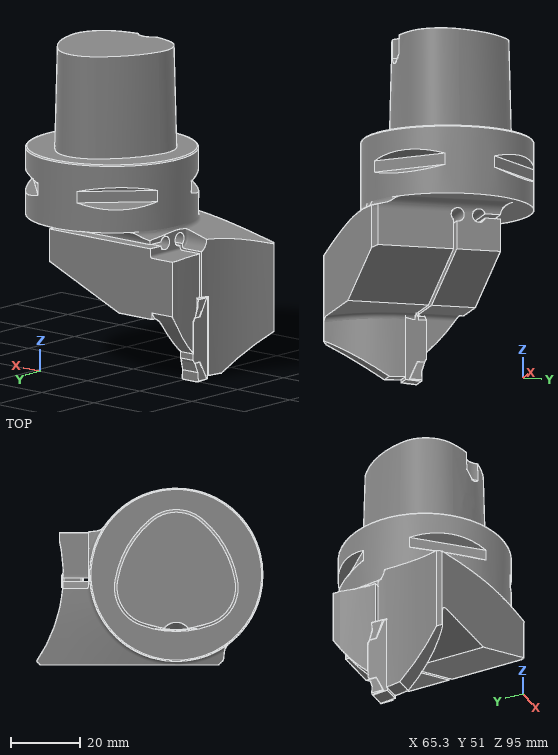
import cadquery as cq
import math


OVERALL_HEIGHT = 95.0

SHANK_TOP = 30.0
LOBE_HEIGHT = 1.2
SHANK_BASE_RADIUS = 17.6
SHANK_TOP_RADIUS = 16.8
ARC_COUNT = 6
KEY_RADIUS = 4.3
KEY_Y = -18.0
KEY_DEPTH = 5.7
KEY_POINT_ANGLE = 90

FLANGE_RADIUS = 25.0
FLANGE_BOTTOM = -20.0
FLANGE_CHAMFER = 0.4
GRIP_COUNT = 4
GRIP_Z = -10.0
GRIP_FLOOR_DISTANCE = 22.1
GRIP_FLOOR_HEIGHT = 3.3
GRIP_WALL_ANGLE = 30

HEAD_RIGHT = 13.4
HEAD_BACK = 12.2
HEAD_FRONT = -26.0
HEAD_LEFT = -40.3
HEAD_FLOOR = -45.4
RIGHT_CHAMFER = 1.5
LEFT_CHAMFER = 1.1
NECK_FILLET = 3.3
CONE_ANGLE = 15
CONE_DROP = 1.2
SLOPE_START_X = -13.3
SLOPE_END_Z = -34.1

BLADE_OUTER_RADIUS = 43.7
BLADE_OUTER_X = -32.6
BLADE_INNER_RADIUS = 30.4
BLADE_INNER_X = -27.5
BLADE_INNER_Y = -2.5
BLADE_FLAT_Y = 9.9
BLADE_BOTTOM = -63.8
BLADE_FILLET = 1.5
NOSE_SLOPE_TOP = -52.3
NOSE_SLOPE_Y = -9.4
JAW_SLOPE_TOP = -43.4
JAW_TIP_Z = -56.4
JAW_BULGE = 0.95

LEDGE_Z = -27.3
LEDGE_WALL_X = -25.3
LEDGE_SIDE_Y = -4.0
LEDGE_SIDE_FILLET = 4.0
LEDGE_WALL_FILLET = 0.8
HINGE_HOLE_DIAMETER = 3.9
HINGE_Z = -23.9
BACK_HOLE_Y = 5.7
FRONT_HOLE_Y = -0.7
BACK_SLIT_WIDTH = 1.2
FRONT_SLIT_WIDTH = 0.95
FRONT_SLIT_Y = -1.4

INSERT_BOTTOM = SHANK_TOP - OVERALL_HEIGHT
INSERT_TOP = -40.2
INSERT_MID_Z = (INSERT_BOTTOM + INSERT_TOP) / 2
INSERT_FLOOR_Y = -4.75
INSERT_BACK_Y = 1.5
INSERT_CENTRE_X = -29.9
INSERT_BODY_WIDTH = 2 * (BLADE_INNER_X - INSERT_CENTRE_X)
EDGE_WIDTH = 6.3
EDGE_RELIEF = 0.5
EDGE_CHAMFER = 0.4
EDGE_CLEARANCE = 0.3
TIP_LENGTH = 5.7
RAKE_LENGTH = 2.85
TIP_BACK_Y = 0.95
TIP_FOOT_Y = -3.7
TIP_ROOT_Y = -1.2

FAR = 76.0
NEAR = 0.1


def box_between(low, high):
    size = [b - a for a, b in zip(low, high)]
    return cq.Workplane("XY").box(*size, centered=False).translate(low)


def lobed_wire(z, radius):
    """Closed outline of arcs: three lobes, one of them toward +Y, and three flatter sides."""

    def point(degrees):
        t = math.radians(degrees)
        return cq.Vector(
            radius * math.sin(t) - LOBE_HEIGHT * math.sin(2 * t),
            radius * math.cos(t) + LOBE_HEIGHT * math.cos(2 * t),
            z,
        )

    step = 360 / ARC_COUNT
    arcs = [
        cq.Edge.makeThreePointArc(point(step * (i - 0.5)), point(step * i), point(step * (i + 0.5)))
        for i in range(ARC_COUNT)
    ]
    return cq.Wire.assembleEdges(arcs)


def make_shank():
    lower = lobed_wire(0, SHANK_BASE_RADIUS)
    upper = lobed_wire(SHANK_TOP, SHANK_TOP_RADIUS)
    shank = cq.Workplane(cq.Solid.makeLoft([lower, upper], True))
    point_depth = KEY_RADIUS / math.tan(math.radians(KEY_POINT_ANGLE / 2))
    key = (
        cq.Workplane("XZ")
        .moveTo(0, SHANK_TOP)
        .lineTo(KEY_RADIUS, SHANK_TOP)
        .lineTo(KEY_RADIUS, SHANK_TOP - KEY_DEPTH)
        .lineTo(0, SHANK_TOP - KEY_DEPTH - point_depth)
        .close()
        .revolve(360, (0, 0, 0), (0, 1, 0))
        .translate((0, KEY_Y, 0))
    )
    return shank.cut(key)


def make_flange():
    flange = (
        cq.Workplane("XY")
        .workplane(offset=FLANGE_BOTTOM)
        .circle(FLANGE_RADIUS)
        .extrude(-FLANGE_BOTTOM)
        .faces(">Z")
        .chamfer(FLANGE_CHAMFER)
    )
    depth = FLANGE_RADIUS - GRIP_FLOOR_DISTANCE
    floor_half = GRIP_FLOOR_HEIGHT / 2
    mouth_half = floor_half + depth * math.tan(math.radians(GRIP_WALL_ANGLE))
    groove = (
        cq.Workplane("XZ")
        .polyline([
            (GRIP_FLOOR_DISTANCE, GRIP_Z - floor_half),
            (FLANGE_RADIUS, GRIP_Z - mouth_half),
            (FLANGE_RADIUS, GRIP_Z + mouth_half),
            (GRIP_FLOOR_DISTANCE, GRIP_Z + floor_half),
        ])
        .close()
        .extrude(FLANGE_RADIUS, both=True)
    )
    for i in range(GRIP_COUNT):
        angle = (i + 0.5) * 360 / GRIP_COUNT
        flange = flange.cut(groove.rotate((0, 0, 0), (0, 0, 1), angle))
    return flange


def outer_x(y):
    """X of the blade's concave side at a given Y."""
    return BLADE_OUTER_X - BLADE_OUTER_RADIUS + math.sqrt(BLADE_OUTER_RADIUS**2 - y**2)


def inner_x(y):
    """X of the blade's convex side at a given Y."""
    across = math.sqrt(BLADE_INNER_RADIUS**2 - (y - BLADE_INNER_Y) ** 2)
    return BLADE_INNER_X - BLADE_INNER_RADIUS + across


def left_side(start):
    """Draws the left side of the head from its back corner to its front face."""
    flat_x = outer_x(BLADE_FLAT_Y)
    corner_y = HEAD_FRONT + LEFT_CHAMFER
    return (
        start.lineTo(flat_x, HEAD_BACK)
        .lineTo(flat_x, BLADE_FLAT_Y)
        .threePointArc((BLADE_OUTER_X, 0), (HEAD_LEFT, corner_y))
        .lineTo(HEAD_LEFT + LEFT_CHAMFER, HEAD_FRONT)
    )


def make_flared_body():
    """Right part of the head, with a fillet up to the flange along its right and back sides."""
    left = BLADE_INNER_X
    overrun_y = HEAD_FRONT - NECK_FILLET
    body = (
        cq.Workplane("XY")
        .workplane(offset=HEAD_FLOOR)
        .polyline([
            (left, HEAD_BACK),
            (HEAD_RIGHT, HEAD_BACK),
            (HEAD_RIGHT, HEAD_FRONT + RIGHT_CHAMFER),
            (HEAD_RIGHT - RIGHT_CHAMFER - NECK_FILLET, overrun_y),
            (left, overrun_y),
        ])
        .close()
        .extrude(FLANGE_BOTTOM - HEAD_FLOOR)
    )
    slab = box_between((left, overrun_y, FLANGE_BOTTOM), (FAR, FAR, 0))
    neck_edges = cq.selectors.BoxSelector(
        (left, overrun_y + NEAR, FLANGE_BOTTOM - NEAR),
        (HEAD_RIGHT + NEAR, HEAD_BACK + NEAR, FLANGE_BOTTOM + NEAR),
    )
    flared = body.union(slab).edges(neck_edges).fillet(NECK_FILLET)
    return flared.cut(box_between((-FAR, -FAR, -FAR), (FAR, HEAD_FRONT, FAR)))


def make_left_body():
    """Left part of the head above its floor, joined to the right part along X = 0."""
    outline = cq.Workplane("XY").workplane(offset=HEAD_FLOOR).moveTo(0, HEAD_BACK)
    return left_side(outline).lineTo(0, HEAD_FRONT).close().extrude(FLANGE_BOTTOM - HEAD_FLOOR)


def make_head_envelope():
    """Round space under the flange, bounded above by a fillet ring and a cone."""
    slope = math.radians(CONE_ANGLE)
    half_turn = (math.pi / 2 - slope) / 2
    ring_radius = CONE_DROP / math.tan(half_turn)
    ring_centre_r = FLANGE_RADIUS + ring_radius

    def ring_point(turn):
        return (
            ring_centre_r - ring_radius * math.cos(turn),
            FLANGE_BOTTOM - ring_radius * math.sin(turn),
        )

    rim_z = FLANGE_BOTTOM - CONE_DROP - (FAR - FLANGE_RADIUS) * math.tan(slope)
    return (
        cq.Workplane("XZ")
        .moveTo(0, FLANGE_BOTTOM)
        .lineTo(FLANGE_RADIUS, FLANGE_BOTTOM)
        .threePointArc(ring_point(half_turn), ring_point(2 * half_turn))
        .lineTo(FAR, rim_z)
        .lineTo(FAR, -2 * FAR)
        .lineTo(0, -2 * FAR)
        .close()
        .revolve(360, (0, 0, 0), (0, 1, 0))
    )


def make_blade():
    """Curved strip below the head's floor, thinning to a chamfered edge at the front."""
    middle_y = (HEAD_FRONT + BLADE_INNER_Y) / 2
    return (
        left_side(cq.Workplane("XY").workplane(offset=BLADE_BOTTOM).moveTo(BLADE_INNER_X, HEAD_BACK))
        .lineTo(inner_x(HEAD_FRONT), HEAD_FRONT)
        .threePointArc((inner_x(middle_y), middle_y), (BLADE_INNER_X, BLADE_INNER_Y))
        .close()
        .extrude(HEAD_FLOOR - BLADE_BOTTOM)
    )


def make_head():
    """Head with its blade, before the clamp and the insert seat are cut."""
    head = make_flared_body().union(make_left_body()).union(make_blade())
    root_edges = cq.selectors.BoxSelector(
        (HEAD_LEFT + LEFT_CHAMFER, HEAD_FRONT + NEAR, HEAD_FLOOR - NEAR),
        (BLADE_INNER_X + NEAR, HEAD_BACK - NEAR, HEAD_FLOOR + NEAR),
    )
    head = head.edges(root_edges).fillet(BLADE_FILLET)
    return head.intersect(make_head_envelope())


def cut_undersides(head):
    """Sloped undersides of the head, of the blade's nose and of the clamping jaw."""
    head_slope = (
        cq.Workplane("XZ")
        .polyline([(SLOPE_START_X, HEAD_FLOOR), (HEAD_RIGHT, SLOPE_END_Z), (HEAD_RIGHT, HEAD_FLOOR)])
        .close()
        .extrude(FAR, both=True)
    )
    nose_slope = (
        cq.Workplane("YZ")
        .polyline([(HEAD_FRONT, NOSE_SLOPE_TOP), (NOSE_SLOPE_Y, BLADE_BOTTOM), (HEAD_FRONT, BLADE_BOTTOM)])
        .close()
        .extrude(-FAR)
    )
    jaw_middle = (
        (HEAD_BACK + INSERT_BACK_Y) / 2,
        (JAW_SLOPE_TOP + JAW_TIP_Z) / 2 - JAW_BULGE,
    )
    jaw_slope = (
        cq.Workplane("YZ")
        .workplane(offset=BLADE_INNER_X + BLADE_FILLET)
        .moveTo(HEAD_BACK, JAW_SLOPE_TOP)
        .threePointArc(jaw_middle, (INSERT_BACK_Y, JAW_TIP_Z))
        .lineTo(INSERT_FLOOR_Y, BLADE_BOTTOM)
        .lineTo(HEAD_BACK, BLADE_BOTTOM)
        .close()
        .extrude(-FAR)
    )
    return head.cut(head_slope).cut(nose_slope).cut(jaw_slope)


def cut_clamp(head):
    """Ledge beside the flange, and the hinge that lets the jaw close on the insert."""
    ledge = box_between((-FAR, LEDGE_SIDE_Y, LEDGE_Z), (LEDGE_WALL_X, FAR, 0))
    ledge = ledge.edges("<Y and <Z").fillet(LEDGE_SIDE_FILLET)
    ledge = ledge.edges(cq.selectors.NearestToPointSelector((LEDGE_WALL_X, HEAD_BACK, LEDGE_Z)))
    ledge = ledge.fillet(LEDGE_WALL_FILLET)
    holes = (
        cq.Workplane("YZ")
        .pushPoints([(BACK_HOLE_Y, HINGE_Z), (FRONT_HOLE_Y, HINGE_Z)])
        .circle(HINGE_HOLE_DIAMETER / 2)
        .extrude(FAR, both=True)
    )
    back_slit = box_between(
        (-FAR, BACK_HOLE_Y, HINGE_Z - BACK_SLIT_WIDTH / 2),
        (FAR, FAR, HINGE_Z + BACK_SLIT_WIDTH / 2),
    )
    front_slit = box_between(
        (-FAR, FRONT_SLIT_Y - FRONT_SLIT_WIDTH / 2, -FAR),
        (FAR, FRONT_SLIT_Y + FRONT_SLIT_WIDTH / 2, HINGE_Z),
    )
    return head.cut(ledge).cut(holes).cut(back_slit).cut(front_slit)


def along_x(points, left, right):
    """Prism of a YZ outline between two X positions."""
    return cq.Workplane("YZ").workplane(offset=left).polyline(points).close().extrude(right - left)


def insert_outline():
    """YZ outline of the insert, symmetric about its middle height."""
    lower = [
        (INSERT_FLOOR_Y, INSERT_BOTTOM + EDGE_CLEARANCE),
        (0, INSERT_BOTTOM),
        (0, INSERT_BOTTOM + RAKE_LENGTH),
        (TIP_BACK_Y, INSERT_BOTTOM + TIP_LENGTH),
        (INSERT_BACK_Y, INSERT_BOTTOM + TIP_LENGTH + TIP_BACK_Y),
    ]
    return lower + [(y, 2 * INSERT_MID_Z - z) for y, z in reversed(lower)]


def make_tip():
    """Lower cutting tip, wider than the insert's body."""
    side = along_x(
        [
            (TIP_FOOT_Y, INSERT_BOTTOM + EDGE_CLEARANCE),
            (0, INSERT_BOTTOM),
            (0, INSERT_BOTTOM + RAKE_LENGTH),
            (TIP_BACK_Y, INSERT_BOTTOM + TIP_LENGTH),
            (TIP_ROOT_Y, INSERT_BOTTOM + TIP_LENGTH),
        ],
        -FAR,
        0,
    )
    half = EDGE_WIDTH / 2
    plan = (
        cq.Workplane("XZ")
        .polyline([
            (INSERT_CENTRE_X - half + EDGE_CHAMFER, INSERT_BOTTOM),
            (INSERT_CENTRE_X - half, INSERT_BOTTOM + EDGE_CHAMFER),
            (INSERT_CENTRE_X - half + EDGE_RELIEF, INSERT_BOTTOM + TIP_LENGTH),
            (INSERT_CENTRE_X + half - EDGE_RELIEF, INSERT_BOTTOM + TIP_LENGTH),
            (INSERT_CENTRE_X + half, INSERT_BOTTOM + EDGE_CHAMFER),
            (INSERT_CENTRE_X + half - EDGE_CHAMFER, INSERT_BOTTOM),
        ])
        .close()
        .extrude(FAR, both=True)
    )
    return side.intersect(plan)


def make_insert():
    half = INSERT_BODY_WIDTH / 2
    body = along_x(insert_outline(), INSERT_CENTRE_X - half, INSERT_CENTRE_X + half)
    tip = make_tip()
    return body.union(tip).union(tip.mirror("XY", (0, 0, INSERT_MID_Z)))


def make_holder(insert):
    head = cut_clamp(cut_undersides(make_head()))
    seat = along_x(insert_outline(), -FAR, INSERT_CENTRE_X)
    head = head.cut(seat).cut(insert)
    return make_shank().union(make_flange()).union(head)


insert = make_insert()
holder = make_holder(insert)
result = cq.Compound.makeCompound([*holder.solids().vals(), *insert.solids().vals()])